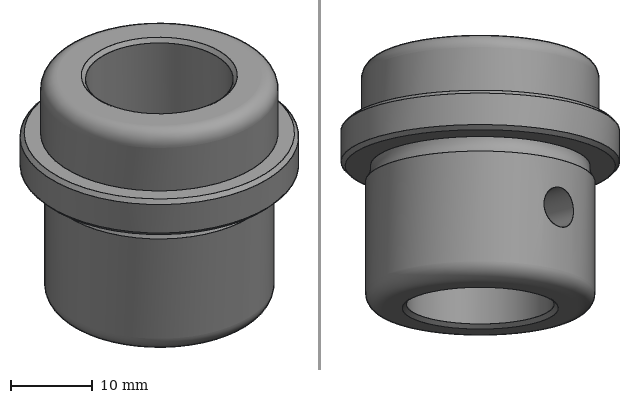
import cadquery as cq
import math

flange_diameter = 34.0
height = 31.0
head_diameter = 29.0
body_diameter = 28.0
bore_diameter = 18.0

head_height = 8.0
flange_thickness = 5.0
flange_top = height - head_height
flange_bottom = flange_top - flange_thickness

rounding = 2.0
edge_chamfer = 0.5

groove_depth = 0.6
groove_height = 2.0
throat_drop = 0.27

side_hole_diameter = 5.0
side_hole_height = 10.0

head_radius = head_diameter / 2
flange_radius = flange_diameter / 2
body_radius = body_diameter / 2
bore_radius = bore_diameter / 2


def make_outer_body():
    """Revolve the solid outer profile, drawn as radius against height."""
    throat_radius = body_radius - groove_depth
    throat_level = flange_bottom - throat_drop
    groove_bottom = flange_bottom - groove_height
    diagonal = rounding * (1 - math.sqrt(0.5))

    flare_height = throat_level - groove_bottom
    arc_radius = (groove_depth**2 + flare_height**2) / (2 * groove_depth)
    arc_center = throat_radius + arc_radius
    groove_top_radius = arc_center - math.sqrt(arc_radius**2 - throat_drop**2)

    profile = (
        cq.Workplane("XZ")
        .lineTo(body_radius - rounding, 0)
        .threePointArc((body_radius - diagonal, diagonal), (body_radius, rounding))
        .lineTo(body_radius, groove_bottom)
        .threePointArc((throat_radius, throat_level), (groove_top_radius, flange_bottom))
        .lineTo(flange_radius - edge_chamfer, flange_bottom)
        .lineTo(flange_radius, flange_bottom + edge_chamfer)
        .lineTo(flange_radius, flange_top - edge_chamfer)
        .lineTo(flange_radius - edge_chamfer, flange_top)
        .lineTo(head_radius, flange_top)
        .lineTo(head_radius, height - rounding)
        .threePointArc(
            (head_radius - diagonal, height - diagonal),
            (head_radius - rounding, height),
        )
        .lineTo(0, height)
        .close()
    )
    return profile.revolve(360, (0, 0, 0), (0, 1, 0))


def make_bore():
    """Through bore with a chamfered mouth at each end."""
    mouth_radius = bore_radius + edge_chamfer
    profile = (
        cq.Workplane("XZ")
        .lineTo(mouth_radius, 0)
        .lineTo(bore_radius, edge_chamfer)
        .lineTo(bore_radius, height - edge_chamfer)
        .lineTo(mouth_radius, height)
        .lineTo(0, height)
        .close()
    )
    return profile.revolve(360, (0, 0, 0), (0, 1, 0))


def make_side_hole():
    """Cylinder running from the axis out through the +Y wall."""
    return (
        cq.Workplane("XZ")
        .center(0, side_hole_height)
        .circle(side_hole_diameter / 2)
        .extrude(-flange_radius)
    )


result = make_outer_body().cut(make_bore()).cut(make_side_hole())